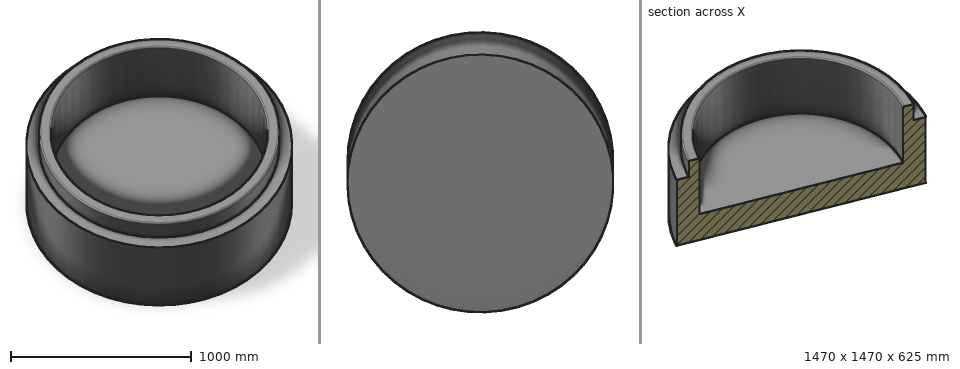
import cadquery as cq

body_diameter = 1470.0
total_height = 625.0

shoulder_height = 504.0
collar_radius = 665.0

cavity_radius = 600.0
floor_thickness = 200.0
rim_round = 9.0


def cylinder(radius, bottom, top):
    """Upright cylinder on the Z axis between two heights."""
    return cq.Workplane("XY").workplane(offset=bottom).circle(radius).extrude(top - bottom)


body = cylinder(body_diameter / 2, 0, shoulder_height)
collar = cylinder(collar_radius, shoulder_height, total_height)
cavity = cylinder(cavity_radius, floor_thickness, total_height)

cup = body.union(collar).cut(cavity)

result = cup.faces(">Z").edges().fillet(rim_round)